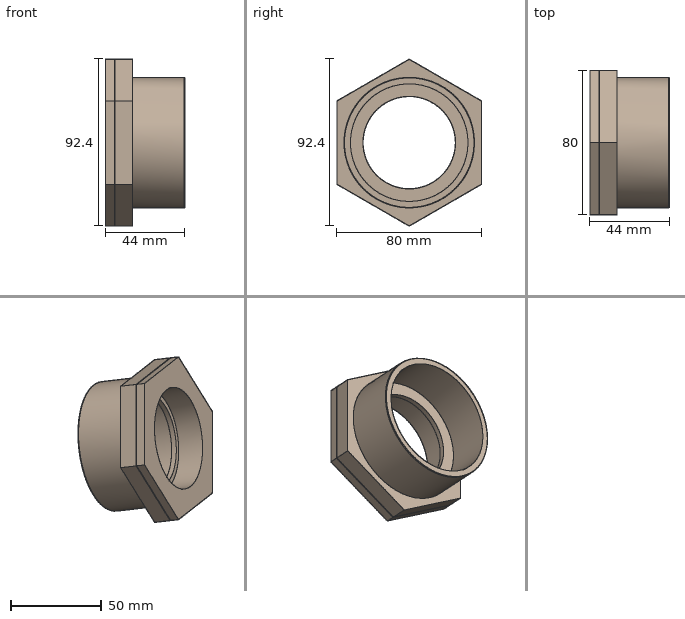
import cadquery as cq
import math

total_length = 44.0
corner_diameter = 92.4

flange_thickness = 15.0
front_plate_thickness = 5.0
groove_width = 0.3
groove_depth = 0.1

spigot_diameter = 72.2
chamfer_length = 0.6
chamfer_depth = 0.3

socket_diameter = 56.6
socket_depth = 15.0
lip_diameter = 51.0
lip_width = 3.0
rear_bore_diameter = 65.0


def cylinder_along_x(diameter, start, end):
    return cq.Workplane("YZ", origin=(start, 0, 0)).circle(diameter / 2).extrude(end - start)


def hexagon_along_x(across_corners, start, end):
    """Hexagonal plate with one pair of corners on the Z axis."""
    radius = across_corners / 2
    corners = [
        (radius * math.sin(i * math.pi / 3), radius * math.cos(i * math.pi / 3))
        for i in range(6)
    ]
    return cq.Workplane("YZ", origin=(start, 0, 0)).polyline(corners).close().extrude(end - start)


groove_end = front_plate_thickness + groove_width
groove_corner_diameter = corner_diameter - 2 * groove_depth / math.cos(math.pi / 6)
front_plate = hexagon_along_x(corner_diameter, 0, front_plate_thickness)
groove_core = hexagon_along_x(groove_corner_diameter, front_plate_thickness, groove_end)
rear_plate = hexagon_along_x(corner_diameter, groove_end, flange_thickness)

chamfer_start = total_length - chamfer_length
spigot_radius = spigot_diameter / 2
spigot_profile = [
    (flange_thickness, 0),
    (flange_thickness, spigot_radius),
    (chamfer_start, spigot_radius),
    (total_length, spigot_radius - chamfer_depth),
    (total_length, 0),
]
spigot = cq.Workplane("XY").polyline(spigot_profile).close().revolve(360, (0, 0, 0), (1, 0, 0))

body = front_plate.union(groove_core).union(rear_plate).union(spigot)

lip_end = socket_depth + lip_width
body = body.cut(cylinder_along_x(socket_diameter, 0, socket_depth))
body = body.cut(cylinder_along_x(lip_diameter, socket_depth, lip_end))
body = body.cut(cylinder_along_x(rear_bore_diameter, lip_end, total_length))

result = body.translate((-total_length / 2, 0, 0))